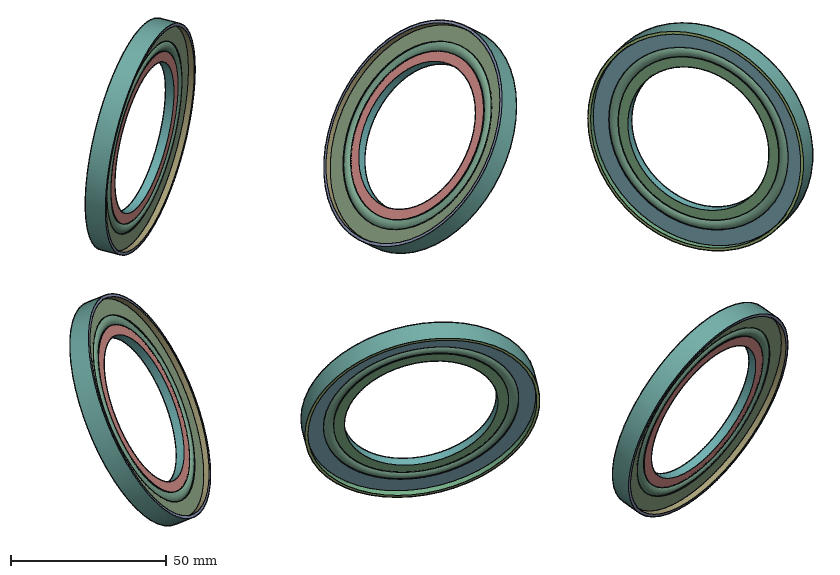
import cadquery as cq

outer_diameter = 77.0
width = 7.0
rim_inner_diameter = 75.0
bore_diameter = 50.3

gap_outer_diameter = 64.0
gap_inner_diameter = 57.4
seal_thickness = 4.0
seal_center_radius = (gap_outer_diameter + gap_inner_diameter) / 4

web_thickness = 3.0


def make_ring(outside, inside, thickness):
    """Flat ring around X, centered on the YZ plane."""
    return (
        cq.Workplane("YZ", origin=(-thickness / 2, 0, 0))
        .circle(outside / 2)
        .circle(inside / 2)
        .extrude(thickness)
    )


def make_outer_ring():
    """Web with a thin, wider rim around it and a seal groove in its inner wall."""
    rim = make_ring(outer_diameter, rim_inner_diameter, width)
    web = make_ring(outer_diameter, gap_outer_diameter, web_thickness)
    return rim.union(web).cut(make_seal())


def make_inner_ring():
    """Flat ring around the bore with a seal groove in its outer wall."""
    web = make_ring(gap_inner_diameter, bore_diameter, web_thickness)
    return web.cut(make_seal())


def make_seal():
    """Round-section ring held in the grooves of both metal rings."""
    return (
        cq.Workplane("XY")
        .center(0, seal_center_radius)
        .circle(seal_thickness / 2)
        .revolve(360, (0, -seal_center_radius, 0), (1, -seal_center_radius, 0))
    )


outer_ring = make_outer_ring()
inner_ring = make_inner_ring()
seal = make_seal()

result = cq.Compound.makeCompound([outer_ring.val(), inner_ring.val(), seal.val()])